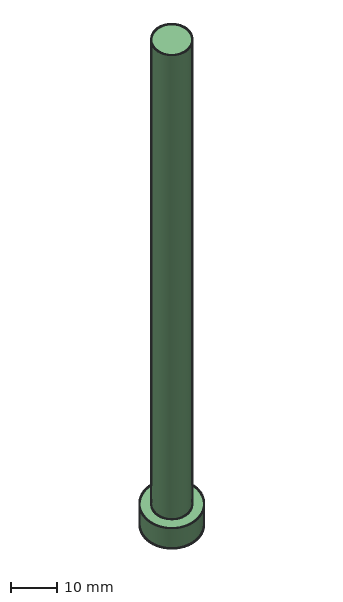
import cadquery as cq

total_length = 160.0
head_diameter = 14.0
head_height = 6.7
shank_diameter = 9.0

head = cq.Workplane("XY").circle(head_diameter / 2).extrude(head_height)
shank = cq.Workplane("XY").circle(shank_diameter / 2).extrude(total_length)

result = head.union(shank)